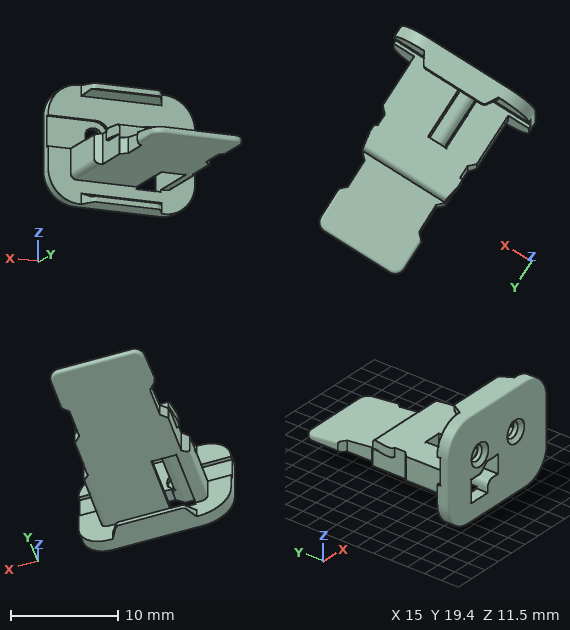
import cadquery as cq
import math

PLATE_WIDTH = 14.95
PLATE_HEIGHT = 11.5
PLATE_THICKNESS = 1.3
PLATE_CORNER_RADIUS = 3.15
PLATE_EDGE_FILLET = 0.2

RIB_END_Y = 2.6
RIB_HALF_WIDTH = 4.1
RIB_SIDE_ANGLE = 60.0
RIB_CORNER_RADIUS = 0.5
RIB_ROOT_HEIGHT = 1.05
RIB_TIP_HEIGHT = 0.55
RIB_TIP_LENGTH = 0.3

HOLE_X = 2.7
HOLE_Z = 1.0
HOLE_DIAMETER = 1.7
COUNTERSINK_DIAMETER = 2.55
COUNTERSINK_ANGLE = 90.0
RECESS_WIDTH = 3.0
RECESS_DEPTH = 0.35

TONGUE_TOP_Z = -0.5
TONGUE_BOTTOM_Z = -3.45
SHANK_HALF_WIDTH = 5.2
WAIST_Y = 7.35
STEP_LENGTH = 0.62
SHANK_EDGE_FILLET = 0.65
BODY_HALF_WIDTH = 4.58
BODY_END_Y = 11.2
BODY_NOSE_FILLET = 0.4
NECK_HALF_WIDTH = 3.95
NECK_END_Y = 14.75
BLADE_HALF_WIDTH = 4.6
BLADE_END_Y = 19.35
BLADE_CORNER_RADIUS = 1.0
BLADE_EDGE_FILLET = 0.28
BLADE_ROOT_Z = -1.85
BLADE_SLOPE = 6.25

LIP_HALF_WIDTH = 4.88
LIP_HEIGHT = 1.0
LIP_ROOT_Y = 8.63
LIP_CORNER_Y = 8.71
LIP_TAPER_START_Y = 9.5
LIP_CORNER_RADIUS = 0.25

WINDOW_LEFT_X = -4.0
WINDOW_STEP_X = -1.54
WINDOW_RIGHT_X = 0.03
WINDOW_TOP_Z = -0.22
WINDOW_SHOULDER_Z = -1.08
WINDOW_STEP_Z = -2.33
WINDOW_BOTTOM_Z = -3.65
WINDOW_SLOPE_START_X = -2.58
WINDOW_SLOPE_END_X = -1.64
WINDOW_SHOULDER_RADIUS = 0.5
WINDOW_STEP_RADIUS = 0.79
WINDOW_END_Y = 7.0


def front_plane(y):
    """Plane at depth y whose local axes are X and Z and whose normal is -Y."""
    return cq.Workplane("XZ", origin=(0, y, 0))


def mirrored_outline(half_outline):
    """Close an outline from its right-hand half by mirroring it about X = 0."""
    left_half = [(-x, y) for x, y in reversed(half_outline)]
    return half_outline + left_half


def with_mirror(solid, plane):
    """The solid together with its mirror image in the given origin plane."""
    return solid.union(solid.mirror(plane))


def tongue_outline(half_outline):
    """Bar over the full height of the tongue, from the right-hand half of its plan."""
    return (
        cq.Workplane("XY", origin=(0, 0, TONGUE_BOTTOM_Z))
        .polyline(mirrored_outline(half_outline))
        .close()
        .extrude(TONGUE_TOP_Z - TONGUE_BOTTOM_Z)
    )


def make_plate():
    plate = (
        front_plane(0)
        .rect(PLATE_WIDTH, PLATE_HEIGHT)
        .extrude(-PLATE_THICKNESS)
        .edges("|Y")
        .fillet(PLATE_CORNER_RADIUS)
    )
    return plate.faces("<Y").edges().fillet(PLATE_EDGE_FILLET)


def make_ribs():
    """Trapezoid ribs that thin towards their tips, flush with the plate's long edges."""
    top_z = PLATE_HEIGHT / 2
    side_run = (RIB_END_Y - PLATE_THICKNESS) / math.tan(math.radians(RIB_SIDE_ANGLE))
    plan = mirrored_outline([
        (RIB_HALF_WIDTH, PLATE_THICKNESS),
        (RIB_HALF_WIDTH - side_run, RIB_END_Y),
    ])
    trapezoid = (
        cq.Workplane("XY", origin=(0, 0, top_z - RIB_ROOT_HEIGHT))
        .polyline(plan)
        .close()
        .extrude(RIB_ROOT_HEIGHT)
        .edges("|Z and >Y")
        .fillet(RIB_CORNER_RADIUS)
    )
    profile = (
        cq.Workplane("YZ")
        .moveTo(PLATE_THICKNESS, top_z)
        .lineTo(RIB_END_Y, top_z)
        .lineTo(RIB_END_Y, top_z - RIB_TIP_HEIGHT)
        .lineTo(RIB_END_Y - RIB_TIP_LENGTH, top_z - RIB_TIP_HEIGHT)
        .lineTo(PLATE_THICKNESS, top_z - RIB_ROOT_HEIGHT)
        .close()
        .extrude(RIB_HALF_WIDTH, both=True)
    )
    return with_mirror(trapezoid.intersect(profile), "XY")


def make_shank():
    """Wide part of the tongue, rooted inside the plate and tapering to the waist."""
    start_y = PLATE_THICKNESS / 2
    bar = (
        tongue_outline([(SHANK_HALF_WIDTH, start_y), (SHANK_HALF_WIDTH, WAIST_Y)])
        .edges("|Y and <Z")
        .fillet(SHANK_EDGE_FILLET)
    )
    chamfered_plan = tongue_outline([
        (SHANK_HALF_WIDTH, start_y),
        (SHANK_HALF_WIDTH, WAIST_Y - STEP_LENGTH),
        (BODY_HALF_WIDTH, WAIST_Y),
    ])
    return bar.intersect(chamfered_plan)


def make_body():
    """Middle of the tongue with its side lips and a rounded upper nose."""
    core = tongue_outline([(BODY_HALF_WIDTH, WAIST_Y), (BODY_HALF_WIDTH, BODY_END_Y)])
    lips = (
        cq.Workplane("XY", origin=(0, 0, TONGUE_TOP_Z - LIP_HEIGHT))
        .polyline(mirrored_outline([
            (BODY_HALF_WIDTH, LIP_ROOT_Y),
            (LIP_HALF_WIDTH, LIP_CORNER_Y),
            (LIP_HALF_WIDTH, LIP_TAPER_START_Y),
            (BODY_HALF_WIDTH, BODY_END_Y),
        ]))
        .close()
        .extrude(LIP_HEIGHT)
    )
    lip_middle_z = TONGUE_TOP_Z - LIP_HEIGHT / 2
    for corner_x in (-LIP_HALF_WIDTH, LIP_HALF_WIDTH):
        corner_edge = cq.NearestToPointSelector((corner_x, LIP_CORNER_Y, lip_middle_z))
        lips = lips.edges(corner_edge).fillet(LIP_CORNER_RADIUS)
    nose_profile = (
        cq.Workplane("YZ")
        .moveTo(WAIST_Y, TONGUE_BOTTOM_Z)
        .lineTo(BODY_END_Y, TONGUE_BOTTOM_Z)
        .lineTo(BODY_END_Y, TONGUE_TOP_Z)
        .lineTo(WAIST_Y, TONGUE_TOP_Z)
        .close()
        .extrude(LIP_HALF_WIDTH, both=True)
        .edges("|X and >Y and >Z")
        .fillet(BODY_NOSE_FILLET)
    )
    return core.union(lips).intersect(nose_profile)


def make_wedge():
    """Full-width bar whose top slopes down towards the tip of the tongue."""
    tip_drop = (BLADE_END_Y - BODY_END_Y) * math.tan(math.radians(BLADE_SLOPE))
    return (
        cq.Workplane("YZ")
        .moveTo(BODY_END_Y, TONGUE_BOTTOM_Z)
        .lineTo(BLADE_END_Y, TONGUE_BOTTOM_Z)
        .lineTo(BLADE_END_Y, BLADE_ROOT_Z - tip_drop)
        .lineTo(BODY_END_Y, BLADE_ROOT_Z)
        .close()
        .extrude(BLADE_HALF_WIDTH, both=True)
    )


def make_neck_and_blade():
    """The edges are rounded on the blade only; the neck between its tapers stays sharp."""
    neck_plan = tongue_outline([
        (BLADE_HALF_WIDTH, BODY_END_Y),
        (NECK_HALF_WIDTH, BODY_END_Y + STEP_LENGTH),
        (NECK_HALF_WIDTH, NECK_END_Y),
    ])
    blade_plan = tongue_outline([
        (NECK_HALF_WIDTH, NECK_END_Y),
        (BLADE_HALF_WIDTH, NECK_END_Y + STEP_LENGTH),
        (BLADE_HALF_WIDTH, BLADE_END_Y),
    ])
    rounded_wedge = make_wedge().edges("|Z and >Y").fillet(BLADE_CORNER_RADIUS)
    for face in (">Z", "<Z"):
        rounded_wedge = rounded_wedge.faces(face).edges("not(<Y)").fillet(BLADE_EDGE_FILLET)
    neck = make_wedge().intersect(neck_plan)
    return neck.union(rounded_wedge.intersect(blade_plan))


def make_window():
    blank = (
        front_plane(0)
        .moveTo(WINDOW_LEFT_X, WINDOW_BOTTOM_Z)
        .lineTo(WINDOW_STEP_X, WINDOW_BOTTOM_Z)
        .lineTo(WINDOW_STEP_X, WINDOW_STEP_Z)
        .lineTo(WINDOW_RIGHT_X, WINDOW_STEP_Z)
        .lineTo(WINDOW_RIGHT_X, WINDOW_TOP_Z)
        .lineTo(WINDOW_SLOPE_END_X, WINDOW_TOP_Z)
        .lineTo(WINDOW_SLOPE_START_X, WINDOW_SHOULDER_Z)
        .lineTo(WINDOW_LEFT_X, WINDOW_SHOULDER_Z)
        .close()
        .extrude(-WINDOW_END_Y)
    )
    step_edge = cq.NearestToPointSelector((WINDOW_STEP_X, WINDOW_END_Y / 2, WINDOW_STEP_Z))
    shoulder_edge = cq.NearestToPointSelector(
        (WINDOW_SLOPE_START_X, WINDOW_END_Y / 2, WINDOW_SHOULDER_Z)
    )
    return (
        blank.edges(step_edge)
        .fillet(WINDOW_STEP_RADIUS)
        .edges(shoulder_edge)
        .fillet(WINDOW_SHOULDER_RADIUS)
    )


def make_hole():
    """Cutter for the right-hand hole with its countersink and its recess out to the plate side."""
    radius = HOLE_DIAMETER / 2
    countersink_radius = COUNTERSINK_DIAMETER / 2
    countersink_depth = (countersink_radius - radius) / math.tan(math.radians(COUNTERSINK_ANGLE / 2))
    bore = front_plane(0).center(HOLE_X, HOLE_Z).circle(radius).extrude(-PLATE_THICKNESS)
    countersink = (
        front_plane(0)
        .center(HOLE_X, HOLE_Z)
        .circle(countersink_radius)
        .workplane(offset=-countersink_depth)
        .circle(radius)
        .loft()
    )
    recess_floor = front_plane(PLATE_THICKNESS - RECESS_DEPTH).center(HOLE_X, HOLE_Z)
    recess_end = recess_floor.circle(RECESS_WIDTH / 2).extrude(-RECESS_DEPTH)
    recess_channel = recess_floor.rect(PLATE_WIDTH, RECESS_WIDTH).extrude(-RECESS_DEPTH)
    recess_channel = recess_channel.translate((PLATE_WIDTH / 2, 0, 0))
    return bore.union(countersink).union(recess_end).union(recess_channel)


tongue = make_shank().union(make_body()).union(make_neck_and_blade())
solid_part = make_plate().union(make_ribs()).union(tongue)
result = solid_part.cut(make_window()).cut(with_mirror(make_hole(), "YZ"))